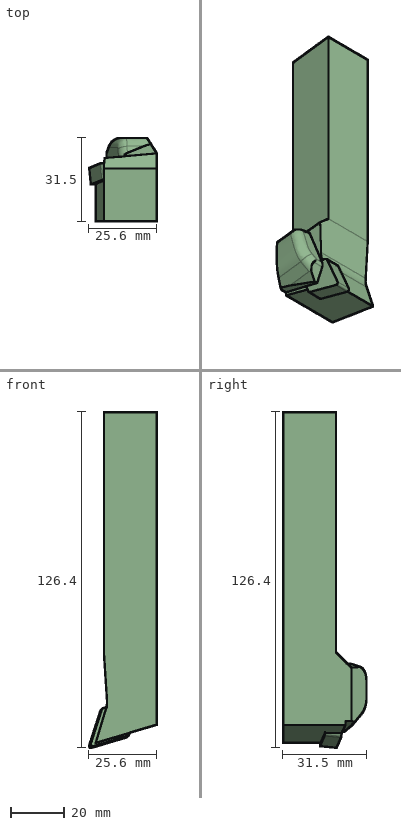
import cadquery as cq
import math

SHANK_SIDE = 20.0
TOTAL_HEIGHT = 126.4

HEAD_START_Z = 36.0
NECK_X = 1.1
NECK_TOP_Z = 18.5
NECK_BOTTOM_Z = 13.6
NECK_BOTTOM_X = 0.5
NECK_MID_X = 1.07
NECK_MID_Z = 15.7
HEAD_TIP_X = -3.0
HEAD_TIP_Z = 1.9
HEAD_HEEL_Z = 8.7
HEAD_REACH_Y = 30.3

RAKE_SLOPE = 0.1
NOSE_X = -6.0
NOSE_Y = 20.0
NOSE_Z = -0.4
CLEAR_SIZE = 252.7

INSERT_SIDE = 15.5
INSERT_THICKNESS = 6.3
INSERT_NOSE_RADIUS = 0.8
INSERT_TILT = 16.6
INSERT_CORNER_ANGLE = 55.0

CLAMP_TOP_Y = 31.5
CLAMP_CORNER_RADIUS = 5.2 / 2
CLAMP_RIM_RADIUS = 3.5
CLAMP_FOOT_Y = 19.0
CLAMP_TOP_LEFT = (6.3, 32.0)
CLAMP_LOW_LEFT = (0.8, 12.6)
CLAMP_TIP = (4.4, 6.0)
CLAMP_LOW_RIGHT_Z = 10.1
CLAMP_TOP_RIGHT_Z = 30.2
CLAMP_RIDGE = (23.6, 32.3)
DOME_START = (28.3, 30.8)
DOME_PEAK_Z = 23.5
DOME_END = (29.3, 12.5)
DOME_TANGENTS = [(3.6, -1.1), (0, -1), (-2.5, -3.0)]
CLAMP_NOSE_UPPER = (26.2, 8.7)
CLAMP_NOSE_LOWER = (22.9, CLAMP_TIP[1])
RIGHT_FLAT_TOP_X = 16.3
RIGHT_FLAT_BOTTOM_Y = 25.6
RIM_MIDDLE_Z = 21.5

RAKE_NORMAL = cq.Vector(-RAKE_SLOPE, 1, -RAKE_SLOPE)


def rake_plane():
    """Plane through the insert nose, with local x along the insert's lower edge."""
    edge_x = math.cos(math.radians(INSERT_TILT))
    edge_z = math.sin(math.radians(INSERT_TILT))
    edge = cq.Vector(edge_x, RAKE_SLOPE * (edge_x + edge_z), edge_z)
    return cq.Plane(origin=(NOSE_X, NOSE_Y, NOSE_Z), xDir=edge, normal=RAKE_NORMAL)


def below_rake():
    """Large block filling the space on the -Y side of the rake plane."""
    return cq.Workplane(rake_plane()).rect(CLEAR_SIZE * 2, CLEAR_SIZE * 2).extrude(-CLEAR_SIZE)


def make_insert():
    """Rhombic prism with rounded corners, lying under the rake plane."""
    rise_x = INSERT_SIDE * math.cos(math.radians(INSERT_CORNER_ANGLE))
    rise_y = -INSERT_SIDE * math.sin(math.radians(INSERT_CORNER_ANGLE))
    return (
        cq.Workplane(rake_plane())
        .polyline([(0, 0), (INSERT_SIDE, 0), (INSERT_SIDE + rise_x, rise_y), (rise_x, rise_y)])
        .close()
        .extrude(-INSERT_THICKNESS)
        .edges(cq.selectors.ParallelDirSelector(RAKE_NORMAL))
        .fillet(INSERT_NOSE_RADIUS)
    )


def make_bar():
    """Shank and head: front outline crossed with the side outline, cut at the rake plane."""
    front = (
        cq.Workplane("XZ")
        .moveTo(0, TOTAL_HEIGHT)
        .lineTo(0, HEAD_START_Z)
        .lineTo(NECK_X, NECK_TOP_Z)
        .threePointArc((NECK_MID_X, NECK_MID_Z), (NECK_BOTTOM_X, NECK_BOTTOM_Z))
        .lineTo(HEAD_TIP_X, HEAD_TIP_Z)
        .lineTo(SHANK_SIDE, HEAD_HEEL_Z)
        .lineTo(SHANK_SIDE, TOTAL_HEIGHT)
        .close()
        .extrude(-HEAD_REACH_Y)
    )
    shoulder_z = HEAD_START_Z - (HEAD_REACH_Y - SHANK_SIDE)
    side = (
        cq.Workplane("YZ")
        .polyline([
            (0, 0),
            (0, TOTAL_HEIGHT),
            (SHANK_SIDE, TOTAL_HEIGHT),
            (SHANK_SIDE, HEAD_START_Z),
            (HEAD_REACH_Y, shoulder_z),
            (HEAD_REACH_Y, 0),
        ])
        .close()
        .extrude(SHANK_SIDE * 2, both=True)
    )
    return front.intersect(side).intersect(below_rake())


def make_clamp():
    """Domed hump: a plan outline crossed with a domed side profile, its left rim rounded."""
    plan = (
        cq.Workplane("XZ")
        .polyline([
            CLAMP_TOP_LEFT,
            CLAMP_LOW_LEFT,
            CLAMP_TIP,
            (SHANK_SIDE, CLAMP_LOW_RIGHT_Z),
            (SHANK_SIDE, CLAMP_TOP_RIGHT_Z),
        ])
        .close()
        .extrude(-CLAMP_TOP_Y)
        .edges("|Y and (<X or >Z)")
        .fillet(CLAMP_CORNER_RADIUS)
    )
    side = (
        cq.Workplane("YZ")
        .moveTo(CLAMP_FOOT_Y, CLAMP_RIDGE[1])
        .lineTo(*CLAMP_RIDGE)
        .lineTo(*DOME_START)
        .spline(
            [(CLAMP_TOP_Y, DOME_PEAK_Z), DOME_END],
            tangents=DOME_TANGENTS,
            includeCurrent=True,
        )
        .lineTo(*CLAMP_NOSE_UPPER)
        .lineTo(*CLAMP_NOSE_LOWER)
        .lineTo(CLAMP_FOOT_Y, CLAMP_TIP[1])
        .close()
        .extrude(SHANK_SIDE * 2, both=True)
    )
    wall_lean = (CLAMP_TOP_LEFT[0] - CLAMP_LOW_LEFT[0]) / (CLAMP_TOP_LEFT[1] - CLAMP_LOW_LEFT[1])
    wall_foot_x = CLAMP_LOW_LEFT[0] - wall_lean * CLAMP_LOW_LEFT[1]
    wall_top_x = wall_foot_x + wall_lean * HEAD_START_Z
    wall_right = (
        cq.Workplane("XZ")
        .polyline([
            (wall_foot_x, 0),
            (wall_top_x, HEAD_START_Z),
            (SHANK_SIDE, HEAD_START_Z),
            (SHANK_SIDE, 0),
        ])
        .close()
        .extrude(-CLAMP_TOP_Y * 2)
    )
    dome = side.intersect(wall_right)
    rim_x = wall_foot_x + wall_lean * RIM_MIDDLE_Z
    rim = cq.selectors.NearestToPointSelector((rim_x, CLAMP_TOP_Y, RIM_MIDDLE_Z))
    dome = dome.edges(rim).fillet(CLAMP_RIM_RADIUS).intersect(plan)
    right_flat = (
        cq.Workplane("XY")
        .polyline([
            (RIGHT_FLAT_TOP_X, CLAMP_TOP_Y),
            (SHANK_SIDE, RIGHT_FLAT_BOTTOM_Y),
            (SHANK_SIDE, CLAMP_TOP_Y),
        ])
        .close()
        .extrude(HEAD_START_Z)
    )
    return dome.cut(right_flat).cut(below_rake())


insert = make_insert()
holder = make_bar().union(make_clamp()).cut(insert)

result = cq.Compound.makeCompound([*holder.solids().vals(), *insert.solids().vals()])